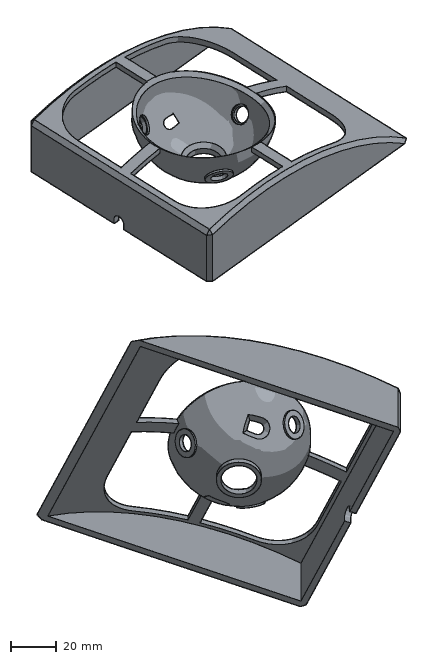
import cadquery as cq
import math

width = 110.0
length = 129.6
height = 33.6
above_roof = height + 6.5
wall = 3.0
edge_chamfer = 2.0

roof_radius = 150.0
front_y = -length / 2
rear_y = length / 2
roof_center_z = height - roof_radius
roof_center_y = rear_y - math.sqrt(roof_radius**2 - roof_center_z**2)

window_size = 101.0
window_corner_radius = 21.0
bar_width = 5.8
bowl_y = -9.7

bowl_inner_radius = 30.0
bowl_outer_radius = 32.4
bowl_center_z = 33.3
rim_diameter = 63.5
rim_bevel = 2.0
base_diameter = 20.0
drain_diameter = 16.0
drain_bevel = (base_diameter - drain_diameter) / 2

seat_count = 3
seat_polar_angle = 60.0
seat_boss_diameter = 13.0
seat_hole_diameter = 7.6
seat_mouth_diameter = 9.2
seat_mouth_depth = 0.6
seat_boss_height = 0.3
bowl_tilt = math.degrees(math.asin((bowl_y - roof_center_y) / roof_radius))

slot_width = 4.7
slot_rear_y = -5.3
slot_front_y = -12.2
slot_slope = 45.0
slot_flare = 45.0
slot_flare_depth = 3.9

notch_width = 5.7
notch_height = 6.0


def roof_prism(offset, prism_width):
    """Solid under the roof arc, with the roof and front moved inwards by offset."""
    radius = roof_radius - offset
    front = front_y + offset

    def arc_z(y):
        return roof_center_z + math.sqrt(radius**2 - (y - roof_center_y) ** 2)

    rear = roof_center_y + math.sqrt(radius**2 - roof_center_z**2)
    return (
        cq.Workplane("YZ")
        .moveTo(front, 0)
        .lineTo(front, arc_z(front))
        .threePointArc((roof_center_y, roof_center_z + radius), (rear, 0))
        .close()
        .extrude(prism_width / 2, both=True)
    )


def make_shell():
    """Hollow wedge with chamfered outer edges, open underneath."""
    outer = roof_prism(0, width)
    outer = outer.faces("<X or >X or <Y").edges("not <Z").chamfer(edge_chamfer)
    return outer.cut(roof_prism(wall, width - 2 * wall))


def make_window():
    """Rounded square opening, less the two crossing bars."""
    window = (
        cq.Workplane("XY")
        .center(0, bowl_y)
        .rect(window_size, window_size)
        .extrude(above_roof)
        .edges("|Z")
        .fillet(window_corner_radius)
    )
    for bar_size in ((bar_width, length), (width, bar_width)):
        bar = cq.Workplane("XY").center(0, bowl_y).rect(*bar_size).extrude(above_roof)
        window = window.cut(bar)
    return window


def upright_cylinder(diameter, top_z):
    """Cylinder on the bowl centreline, standing on z = 0."""
    return cq.Workplane("XY").center(0, bowl_y).circle(diameter / 2).extrude(top_z)


def bowl_sphere(radius):
    """Sphere about the bowl centre."""
    return cq.Workplane("XY").sphere(radius).translate((0, bowl_y, bowl_center_z))


def bowl_plane(direction, x_direction, distance):
    """Workplane facing outwards at a distance from the bowl centre."""
    center = cq.Vector(0, bowl_y, bowl_center_z)
    return cq.Workplane(cq.Plane(center + direction * distance, x_direction, direction))


def seat_plane(index):
    """Workplane at the bowl centre facing out along the axis of one support seat."""
    polar = math.radians(seat_polar_angle)
    azimuth = math.radians(90 + index * 360 / seat_count)
    tilt = math.radians(bowl_tilt)
    x = math.sin(polar) * math.cos(azimuth)
    y = math.sin(polar) * math.sin(azimuth)
    z = -math.cos(polar)
    tilted_y = y * math.cos(tilt) + z * math.sin(tilt)
    tilted_z = z * math.cos(tilt) - y * math.sin(tilt)
    direction = cq.Vector(x, tilted_y, tilted_z)
    return bowl_plane(direction, direction.cross(cq.Vector(0, 0, 1)), 0)


def slot_outline(direction, distance, growth):
    """Slot outline on a plane across its axis, grown outwards all round."""
    half = slot_width / 2 + growth
    rear = slot_rear_y - bowl_y + growth
    front = slot_front_y - bowl_y - growth
    sketch = (
        bowl_plane(direction, cq.Vector(0, 1, 0), distance)
        .moveTo(rear, -half)
        .lineTo(rear, half)
        .lineTo(front + half, half)
        .threePointArc((front, 0), (front + half, -half))
        .close()
    )
    return sketch.val()


def make_slot(side):
    """Flaring cutter for the slot on one side of the bowl (side = -1 or 1)."""
    slope = math.radians(slot_slope)
    direction = cq.Vector(side * math.cos(slope), 0, -math.sin(slope))
    spread = slot_flare_depth * math.tan(math.radians(slot_flare))
    corner_reach = math.hypot(slot_width / 2, slot_rear_y - bowl_y)
    start = math.sqrt(bowl_inner_radius**2 - corner_reach**2)
    mouth = slot_outline(direction, start, 0)
    exit_outline = slot_outline(direction, start + slot_flare_depth, spread)
    return cq.Workplane(cq.Solid.makeLoft([mouth, exit_outline], True))


def make_bowl():
    """Outer form of the bowl: a sphere with upright sides at the rim and a round base."""
    rim = upright_cylinder(rim_diameter, height)
    base = upright_cylinder(base_diameter, bowl_center_z)
    return bowl_sphere(bowl_outer_radius).intersect(rim).union(base)


def make_cavity():
    """Inside of the bowl: a sphere up to the roof, flared by a bevel along the roof edge."""
    block = roof_prism(0, width)
    hollow_block = block.cut(bowl_sphere(bowl_inner_radius))
    mouth_edge = cq.selectors.BoxSelector(
        (-bowl_outer_radius, bowl_y - bowl_outer_radius, bowl_center_z / 2),
        (bowl_outer_radius, bowl_y + bowl_outer_radius, above_roof),
        boundingbox=True,
    )
    return block.cut(hollow_block.edges(mouth_edge).chamfer(rim_bevel))


def make_seat_bosses():
    """Short bosses that thicken the bowl wall round the support seats."""
    bosses = cq.Workplane("XY")
    for index in range(seat_count):
        boss = seat_plane(index).circle(seat_boss_diameter / 2)
        bosses = bosses.union(boss.extrude(bowl_outer_radius + seat_boss_height))
    return bosses


def cut_bowl(body):
    """Cut the drain, seats and slots through the bowl wall."""
    body = body.cut(upright_cylinder(drain_diameter, bowl_center_z))
    mouth_z = bowl_center_z - math.sqrt(bowl_inner_radius**2 - (base_diameter / 2) ** 2)
    cone_base = cq.Vector(0, bowl_y, mouth_z - drain_bevel)
    drain_cone = cq.Solid.makeCone(drain_diameter / 2, base_diameter / 2, drain_bevel, cone_base)
    body = body.cut(cq.Workplane(drain_cone))
    for index in range(seat_count):
        hole = seat_plane(index).circle(seat_hole_diameter / 2).extrude(2 * bowl_outer_radius)
        mouth = seat_plane(index).circle(seat_mouth_diameter / 2)
        body = body.cut(hole)
        body = body.cut(mouth.extrude(bowl_inner_radius + seat_mouth_depth))
    for side in (-1, 1):
        body = body.cut(make_slot(side))
    return body


def make_notch():
    """Round-topped cable notch through the front wall."""
    half = notch_width / 2
    return (
        cq.Workplane("XZ", origin=(0, front_y + wall, 0))
        .moveTo(-half, 0)
        .lineTo(-half, notch_height - half)
        .threePointArc((0, notch_height), (half, notch_height - half))
        .lineTo(half, 0)
        .close()
        .extrude(wall)
    )


frame = make_shell().cut(make_window()).cut(make_notch())
bowl = make_bowl().union(make_seat_bosses()).intersect(roof_prism(0, width))
result = cut_bowl(frame.union(bowl).cut(make_cavity()))